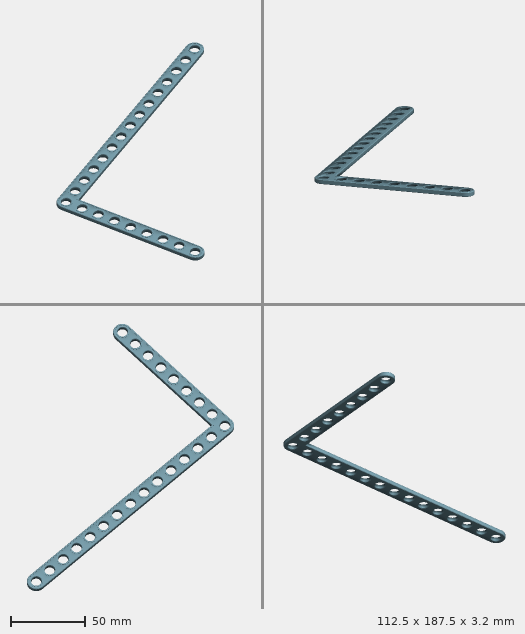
import cadquery as cq

LENGTH_Y = 187.5
LONG_ARM_HOLES = 15
SHORT_ARM_HOLES = 9
THICKNESS = 3.2
HOLE_DIAMETER = 7.0
RING_DIAMETER = 9.2
RIM_WIDTH = 1.05
RECESS_DEPTH = 0.26
EDGE_CHAMFER = 0.34

PITCH = LENGTH_Y / LONG_ARM_HOLES
END_RADIUS = PITCH / 2
LONG_SPAN = (LONG_ARM_HOLES - 1) * PITCH
SHORT_SPAN = (SHORT_ARM_HOLES - 1) * PITCH
FLOOR_Z = THICKNESS - RECESS_DEPTH

HOLE_CENTRES = [(0, row * PITCH) for row in range(LONG_ARM_HOLES)]
HOLE_CENTRES += [(column * PITCH, 0) for column in range(1, SHORT_ARM_HOLES)]


def angle_shape(radius, bottom, height):
    """Solid L centred on the hole lines, with arms and round ends of the given radius."""
    diagonal = radius * 0.5 ** 0.5
    return (
        cq.Workplane("XY", origin=(0, 0, bottom))
        .moveTo(0, -radius)
        .lineTo(SHORT_SPAN, -radius)
        .threePointArc((SHORT_SPAN + radius, 0), (SHORT_SPAN, radius))
        .lineTo(radius, radius)
        .lineTo(radius, LONG_SPAN)
        .threePointArc((0, LONG_SPAN + radius), (-radius, LONG_SPAN))
        .lineTo(-radius, 0)
        .threePointArc((-diagonal, -diagonal), (0, -radius))
        .close()
        .extrude(height)
    )


def cylinders(diameter, bottom, height):
    """One cylinder at every hole centre."""
    return (
        cq.Workplane("XY", origin=(0, 0, bottom))
        .pushPoints(HOLE_CENTRES)
        .circle(diameter / 2)
        .extrude(height)
    )


plate = angle_shape(END_RADIUS, 0, THICKNESS)
plate = plate.cut(cylinders(HOLE_DIAMETER, 0, THICKNESS))
plate = plate.faces("<Z or >Z").chamfer(EDGE_CHAMFER)

recess = angle_shape(END_RADIUS - RIM_WIDTH, FLOOR_Z, RECESS_DEPTH)
recess = recess.cut(cylinders(RING_DIAMETER, FLOOR_Z, RECESS_DEPTH))

result = plate.cut(recess)